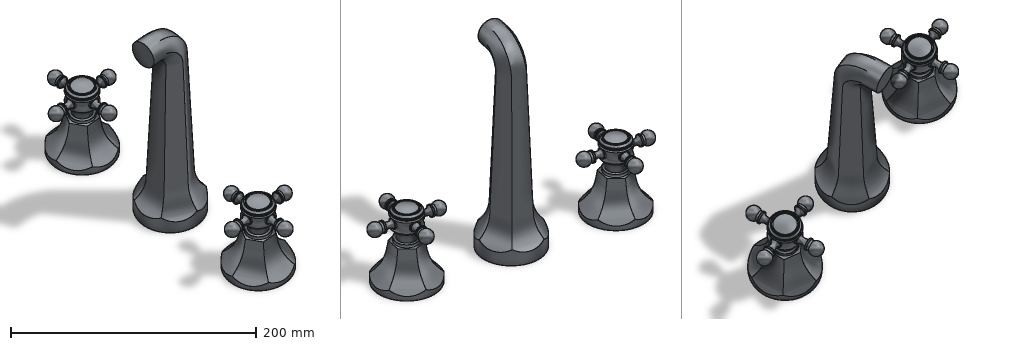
import cadquery as cq
import math

handle_spacing = 100.0
base_radius = 30.48
total_height = 203.2
hex_sides = 6
apothem_ratio = math.cos(math.pi / hex_sides)
slab_half_length = 2 * base_radius

spout_flare_low_z = 11.9
spout_flare_mid = (22.2, 22.0)
spout_column_z = 38.2
spout_column_corner = 20.5
spout_bend_z = 169.6
spout_top_corner = 14.5
outlet_radius = 12.3
outlet_reach = 31.75
outlet_z = total_height - outlet_radius
bend_radius = outlet_z - spout_bend_z

skirt_slope = 1.1
skirt_top_z = 8.6
skirt_top_apothem = 26.0
flare_mid = (19.0, 17.3)
flare_top_z = 29.3
flare_top_apothem = 14.6
hex_top_z = 39.5
hex_top_apothem = 13.05

collar_radius = 11.5
collar_waist_radius = 10.7
collar_top_z = 42.5
neck_radius = 8.9
neck_top_z = 51.6
arm_z = 60.3
hub_bottom_radius = 9.9
hub_lower_edge = (13.9, 53.6)
hub_shoulder = (12.6, 52.5)
hub_rim_radius = 14.7
hub_rim_offset = 5.5
hub_waist_radius = 13.2
cap_radius = 13.8
cap_groove_radius = 13.3
cap_groove_low_z = 67.0
cap_groove_high_z = 68.2
cap_edge_z = 69.6
cap_ring_radius = 12.0
cap_ring_z = 71.3
button_radius = 10.0
button_seat_radius = 11.0
button_seat_z = 70.7
button_edge_z = 71.6
button_top_z = 73.2

arm_count = 4
arm_reach = 37.02
ball_radius = 6.6
ball_center = arm_reach - ball_radius
boss_radius = 5.0
boss_end = 13.9
arm_root_radius = 4.1
arm_root_mid = (15.7, 3.2)
arm_waist = (17.8, 2.9)
arm_flare_mid = (20.6, 3.5)
arm_ring_start = 22.2
arm_ring_end = 23.8
arm_ring_radius = 5.5
arm_neck_radius = 4.9


def hexagonal_body(slab_outline, first_angle):
    """Intersect three crossed slabs, so that each pair of flats follows the outline."""
    slab = slab_outline.extrude(slab_half_length, both=True)
    body = None
    for index in range(hex_sides // 2):
        turned = slab.rotate((0, 0, 0), (0, 0, 1), first_angle + index * 360 / hex_sides)
        body = turned if body is None else body.intersect(turned)
    return body


def hexagon(z, corner):
    """Hexagonal wire with corners on the X axis."""
    return cq.Workplane("XY", origin=(0, 0, z)).polygon(hex_sides, 2 * corner)


def round_base(height):
    return cq.Workplane("XY").circle(base_radius).extrude(height)


def make_spout_foot():
    top_apothem = spout_column_corner * apothem_ratio
    mid_apothem, mid_z = spout_flare_mid
    outline = (
        cq.Workplane("XZ")
        .moveTo(-base_radius, 0)
        .lineTo(base_radius, 0)
        .lineTo(base_radius, spout_flare_low_z)
        .threePointArc((mid_apothem, mid_z), (top_apothem, spout_column_z))
        .lineTo(-top_apothem, spout_column_z)
        .threePointArc((-mid_apothem, mid_z), (-base_radius, spout_flare_low_z))
        .close()
    )
    return hexagonal_body(outline, 360 / hex_sides / 2).intersect(round_base(spout_column_z))


def make_spout_column():
    height = spout_bend_z - spout_column_z
    return (
        hexagon(spout_column_z, spout_column_corner)
        .workplane(offset=height)
        .polygon(hex_sides, 2 * spout_top_corner)
        .loft(ruled=True)
    )


def make_spout_bend():
    """Bend that changes from the column hexagon to the round outlet."""
    path = (
        cq.Workplane("YZ")
        .moveTo(0, spout_bend_z)
        .threePointArc(
            (bend_radius * (math.cos(math.pi / 4) - 1), spout_bend_z + bend_radius * math.sin(math.pi / 4)),
            (-bend_radius, outlet_z),
        )
    )
    outlet_plane = cq.Plane(origin=(0, -bend_radius, outlet_z), xDir=(1, 0, 0), normal=(0, -1, 0))
    step = 2 * math.pi / hex_sides
    outlet = cq.Workplane(outlet_plane).moveTo(outlet_radius, 0)
    for index in range(hex_sides):
        middle = (index + 0.5) * step
        end = (index + 1) * step
        outlet = outlet.threePointArc(
            (outlet_radius * math.cos(middle), outlet_radius * math.sin(middle)),
            (outlet_radius * math.cos(end), outlet_radius * math.sin(end)),
        )
    outlet_wire = outlet.wire().val()
    head_wire = hexagon(spout_bend_z, spout_top_corner).val()
    bend = cq.Solid.sweep_multi([head_wire, outlet_wire], path.val(), True, True)
    straight = cq.Solid.extrudeLinear(outlet_wire, [], cq.Vector(0, bend_radius - outlet_reach, 0))
    return cq.Workplane(bend).union(cq.Workplane(straight))


def make_spout():
    return make_spout_foot().union(make_spout_column()).union(make_spout_bend())


def make_handle_base():
    bottom_apothem = skirt_top_apothem + skirt_slope * skirt_top_z
    mid_apothem, mid_z = flare_mid
    outline = (
        cq.Workplane("XZ")
        .moveTo(-bottom_apothem, 0)
        .lineTo(bottom_apothem, 0)
        .lineTo(skirt_top_apothem, skirt_top_z)
        .threePointArc((mid_apothem, mid_z), (flare_top_apothem, flare_top_z))
        .lineTo(hex_top_apothem, hex_top_z)
        .lineTo(-hex_top_apothem, hex_top_z)
        .lineTo(-flare_top_apothem, flare_top_z)
        .threePointArc((-mid_apothem, mid_z), (-skirt_top_apothem, skirt_top_z))
        .close()
    )
    return hexagonal_body(outline, 0).intersect(round_base(hex_top_z))


def make_stem_and_hub():
    """Turned collar, neck, waisted hub and cap."""
    collar_mid_z = (hex_top_z + collar_top_z) / 2
    dome_radius = (button_radius**2 + (button_top_z - button_edge_z) ** 2) / (
        2 * (button_top_z - button_edge_z)
    )
    dome_mid_radius = button_radius / 2
    dome_mid_z = button_top_z - dome_radius + math.sqrt(dome_radius**2 - dome_mid_radius**2)
    profile = (
        cq.Workplane("XZ")
        .moveTo(0, hex_top_z)
        .lineTo(collar_radius, hex_top_z)
        .threePointArc((collar_waist_radius, collar_mid_z), (collar_radius, collar_top_z))
        .lineTo(neck_radius, collar_top_z)
        .lineTo(neck_radius, neck_top_z)
        .lineTo(hub_bottom_radius, neck_top_z)
        .threePointArc(hub_shoulder, hub_lower_edge)
        .lineTo(hub_rim_radius, arm_z - hub_rim_offset)
        .threePointArc((hub_waist_radius, arm_z), (hub_rim_radius, arm_z + hub_rim_offset))
        .lineTo(cap_radius, cap_groove_low_z)
        .lineTo(cap_groove_radius, cap_groove_low_z)
        .lineTo(cap_groove_radius, cap_groove_high_z)
        .lineTo(cap_radius, cap_groove_high_z)
        .lineTo(cap_radius, cap_edge_z)
        .lineTo(cap_ring_radius, cap_ring_z)
        .lineTo(button_seat_radius, cap_ring_z)
        .lineTo(button_seat_radius, button_seat_z)
        .lineTo(button_radius, button_seat_z)
        .lineTo(button_radius, button_edge_z)
        .threePointArc((dome_mid_radius, dome_mid_z), (0, button_top_z))
        .close()
    )
    return profile.revolve(360, (0, 0), (0, 1))


def make_arm():
    """Turned arm along +X: boss, waisted shaft, ring, neck and ball."""
    neck_end = ball_center - math.sqrt(ball_radius**2 - arm_neck_radius**2)
    profile = (
        cq.Workplane("XZ", origin=(0, 0, arm_z))
        .lineTo(0, boss_radius)
        .lineTo(boss_end, boss_radius)
        .lineTo(boss_end, arm_root_radius)
        .spline(
            [arm_root_mid, arm_waist, arm_flare_mid, (arm_ring_start, arm_neck_radius)],
            includeCurrent=True,
        )
        .lineTo(arm_ring_start, arm_ring_radius)
        .lineTo(arm_ring_end, arm_ring_radius)
        .lineTo(arm_ring_end, arm_neck_radius)
        .lineTo(neck_end, arm_neck_radius)
        .threePointArc((ball_center, ball_radius), (arm_reach, 0))
        .close()
    )
    return profile.revolve(360, (0, 0), (1, 0))


def make_handle(x):
    handle = make_handle_base().union(make_stem_and_hub())
    for index in range(arm_count):
        arm = make_arm().rotate((0, 0, 0), (0, 0, 1), index * 360 / arm_count)
        handle = handle.union(arm)
    return handle.translate((x, 0, 0))


spout = make_spout()
handles = [make_handle(side * handle_spacing) for side in (-1, 1)]

result = cq.Compound.makeCompound([spout.val(), *[handle.val() for handle in handles]])